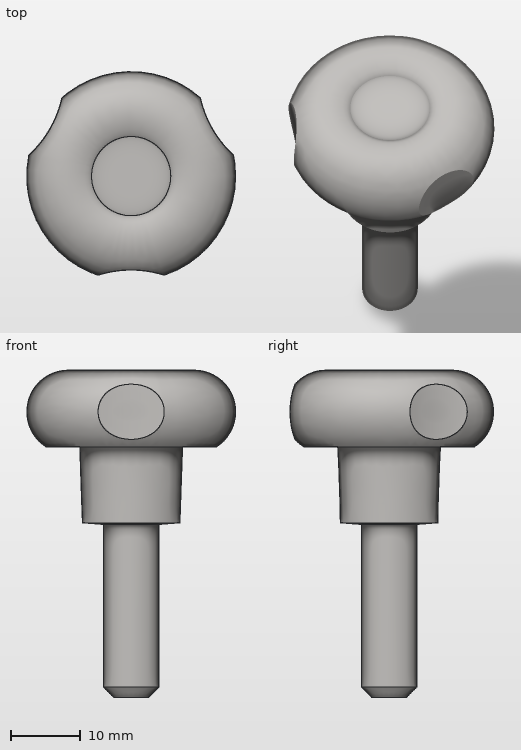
import cadquery as cq
import math

total_height = 47.0
hub_bottom = 24.85
head_bottom = 36.0

stud_radius = 8.0 / 2
tip_radius = 2.45
tip_height = 1.55

hub_face_rise = 0.25
hub_bottom_radius = 7.0
hub_top_radius = 7.4

head_radius = 15.0
ring_section_radius = 5.95
ring_radius = head_radius - ring_section_radius
ring_height = total_height - ring_section_radius
dish_radius = 5.7

grip_count = 3
first_grip_angle = -90.0
grip_floor_distance = 13.5
grip_half_width = 4.75


def make_stud_and_hub():
    return (
        cq.Workplane("XZ")
        .lineTo(tip_radius, 0)
        .lineTo(stud_radius, tip_height)
        .lineTo(stud_radius, hub_bottom)
        .lineTo(hub_bottom_radius, hub_bottom + hub_face_rise)
        .lineTo(hub_top_radius, head_bottom)
        .lineTo(0, head_bottom)
        .close()
        .revolve(360, (0, 0), (0, 1))
    )


def make_head():
    bottom_rise = ring_height - head_bottom
    bottom_radius = ring_radius + math.sqrt(ring_section_radius**2 - bottom_rise**2)
    dish_inset = ring_radius - dish_radius
    dish_height = ring_height + math.sqrt(ring_section_radius**2 - dish_inset**2)
    return (
        cq.Workplane("XZ")
        .moveTo(0, head_bottom)
        .lineTo(bottom_radius, head_bottom)
        .threePointArc((head_radius, ring_height), (dish_radius, dish_height))
        .lineTo(0, dish_height)
        .close()
        .revolve(360, (0, 0), (0, 1))
    )


def make_grip_cutters():
    edge_distance = math.sqrt(head_radius**2 - grip_half_width**2)
    grip_depth = edge_distance - grip_floor_distance
    grip_radius = (grip_half_width**2 + grip_depth**2) / (2 * grip_depth)
    return (
        cq.Workplane("XY", origin=(0, 0, head_bottom))
        .polarArray(grip_floor_distance + grip_radius, first_grip_angle, 360, grip_count)
        .circle(grip_radius)
        .extrude(total_height - head_bottom)
    )


result = make_stud_and_hub().union(make_head().cut(make_grip_cutters()))